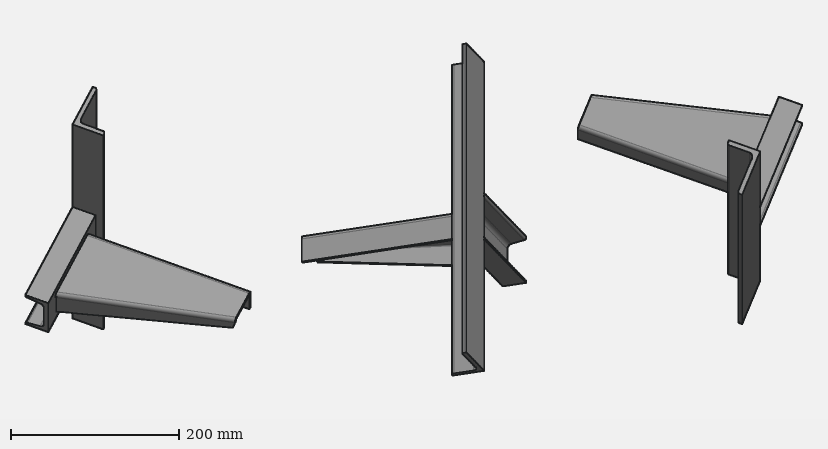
import cadquery as cq
import math

post_height = 400.0
post_long_leg = 60.0
post_short_leg = 40.0
post_thickness = 6.0
post_root_radius = 6.0
post_toe_radius = 3.0

channel_length = 140.0
channel_height = 60.0
channel_width = 30.0
web_thickness = 6.0
flange_mid_thickness = 6.0
flange_slope = 0.14
channel_root_radius = 6.0
channel_toe_radius = 3.0
channel_mid_z = post_height / 2

bracket_length = 210.5
bracket_height = 34.5
bracket_top_z = channel_mid_z + 21.0
bracket_back_y = 120.0
bracket_root_width = 99.5
bracket_tip_width = 47.5
sheet_thickness = 4.0
bend_outer_radius = 5.0
bend_inner_radius = bend_outer_radius - sheet_thickness
front_flange_tip_height = 17.0
tip_relief_height = 9.5
tip_relief_setback = 2.5
root_relief_width = 1.0
trim_inner_y = -2 * sheet_thickness


def make_post():
    """Angle section with a rounded root and rounded leg tips, heel edge at the front of the post."""
    outline = [
        (0, 0),
        (post_short_leg, 0),
        (post_short_leg, post_thickness),
        (post_thickness, post_thickness),
        (post_thickness, post_long_leg),
        (0, post_long_leg),
    ]
    body = cq.Workplane("XY").polyline(outline).close().extrude(post_height)
    root = cq.selectors.NearestToPointSelector((post_thickness, post_thickness, post_height / 2))
    body = body.edges(root).fillet(post_root_radius)
    for tip in [(post_short_leg, post_thickness), (post_thickness, post_long_leg)]:
        tip_edge = cq.selectors.NearestToPointSelector((*tip, post_height / 2))
        body = body.edges(tip_edge).fillet(post_toe_radius)
    return body.translate((0, channel_length, 0))


def make_channel():
    """Channel whose flanges thicken toward the web, with rounded roots and toes."""
    half_height = channel_height / 2
    web_inner_x = channel_width - web_thickness

    def inner_z(x):
        return half_height - flange_mid_thickness - flange_slope * (x - channel_width / 2)

    outline = [
        (0, half_height),
        (channel_width, half_height),
        (channel_width, -half_height),
        (0, -half_height),
        (0, -inner_z(0)),
        (web_inner_x, -inner_z(web_inner_x)),
        (web_inner_x, inner_z(web_inner_x)),
        (0, inner_z(0)),
    ]
    body = cq.Workplane("XZ").polyline(outline).close().extrude(-channel_length)
    for x, radius in [(0, channel_toe_radius), (web_inner_x, channel_root_radius)]:
        for side in (-1, 1):
            corner = (x, channel_length / 2, side * inner_z(x))
            body = body.edges(cq.selectors.NearestToPointSelector(corner)).fillet(radius)
    return body.translate((0, 0, channel_mid_z))


def bracket_prism(inset, bend_radius):
    """Tapered block with its two flange sides moved in by inset and their top edges rounded."""
    slant_inset = inset * math.hypot(bracket_length, bracket_root_width - bracket_tip_width) / bracket_length
    outline = [
        (0, -inset),
        (bracket_length, -inset),
        (bracket_length, slant_inset - bracket_tip_width),
        (0, slant_inset - bracket_root_width),
    ]
    block = cq.Workplane("XY").polyline(outline).close().extrude(-bracket_height)
    return block.faces(">Z").edges("not |Y").fillet(bend_radius)


def make_bracket():
    """Hollow folded bracket whose front flange tapers in height and is relieved at both ends."""
    outer = bracket_prism(0, bend_outer_radius)
    hollow = bracket_prism(sheet_thickness, bend_inner_radius).translate((0, 0, -sheet_thickness))
    front_trim = (
        cq.Workplane("XZ", origin=(0, trim_inner_y, 0))
        .polyline([
            (0, -bracket_height),
            (bracket_length - tip_relief_setback, -front_flange_tip_height),
            (bracket_length, -front_flange_tip_height + tip_relief_height),
            (bracket_length, -bracket_height),
        ])
        .close()
        .extrude(bracket_root_width)
    )
    root_trim = (
        cq.Workplane("XY", origin=(0, 0, -bend_outer_radius))
        .polyline([
            (0, trim_inner_y),
            (root_relief_width, trim_inner_y),
            (root_relief_width, -bracket_root_width),
            (0, -bracket_root_width),
        ])
        .close()
        .extrude(-bracket_height)
    )
    body = outer.cut(hollow).cut(front_trim).cut(root_trim)
    return body.translate((channel_width, bracket_back_y, bracket_top_z))


post = make_post()
channel = make_channel()
bracket = make_bracket()

result = cq.Compound.makeCompound([post.val(), channel.val(), bracket.val()])